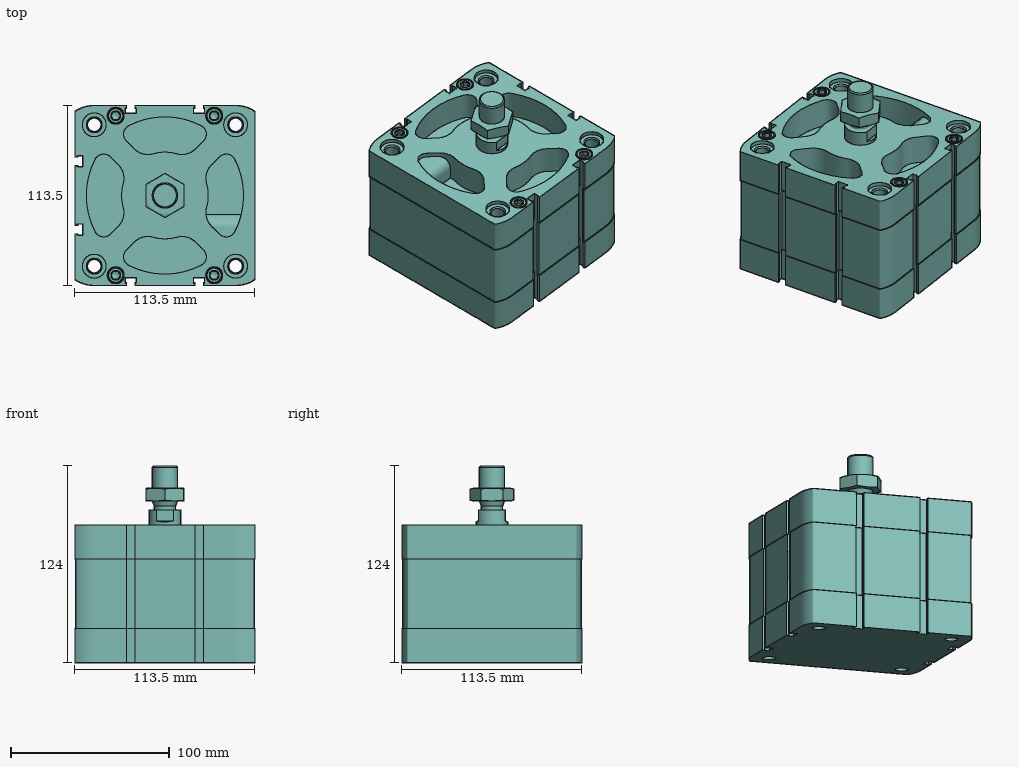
import cadquery as cq
import math

side = 113.5
half_side = side / 2
housing_height = 87.0
cap_height = 21.7
barrel_inset = 0.5

corner_arc_start = 44.5
corner_arc_radius = 22.0
corner_fillet = 1.0

slot_offset = 21.5
slot_opening = 5.3
slot_width = 6.8
slot_lip = 1.5
slot_depth = 4.9

pocket_outer_radius = 49.5
pocket_inner_radius = 27.3
pocket_depth = 19.0
rib_width = 14.2
pocket_outer_fillet = 6.0
pocket_inner_fillet = 12.0

mount_offset = 44.5
mount_counterbore_diameter = 15.0
mount_counterbore_depth = 2.5
mount_thread_diameter = 10.0
mount_hole_diameter = 8.38

screw_x = 31.0
screw_y = 50.2
screw_recess_diameter = 10.7
screw_recess_depth = 6.0
screw_head_diameter = 10.0
screw_head_chamfer = 0.5
socket_across_flats = 5.0
socket_mouth_diameter = 6.2
socket_depth = 3.5
socket_tip_depth = 0.8

block_edge_y = -12.0
block_edge_fillet = 8.1
block_top = 84.0
block_inner_x = 20.0
block_length = 18.0

overall_height = 124.0
collar_diameter = 20.0
collar_top = 96.3
neck_diameter = 13.5
neck_top = 98.7
neck_fillet = 0.4
thread_diameter = 16.0
thread_tip_diameter = 14.38
flats_width = 17.0
flats_bottom = 89.4
flats_runout = 0.6
rod_bottom = housing_height - cap_height

nut_across_flats = 24.0
nut_height = 8.0
nut_bottom = 102.0
nut_face_diameter = 23.4
nut_corner_drop = 0.5


def body_section(inset, bottom, height):
    """A slotted prism of the body outline, with all faces moved inwards by the inset."""
    half = half_side - inset
    radius = corner_arc_radius - inset
    start = corner_arc_start
    run = half - start
    edge_y = half - radius + math.sqrt(radius**2 - run**2)
    mid_angle = (math.pi / 2 + math.acos(run / radius)) / 2
    mid_x = start + radius * math.cos(mid_angle)
    mid_y = half - radius + radius * math.sin(mid_angle)
    outline = (
        cq.Workplane("XY", origin=(0, 0, bottom))
        .moveTo(-start, half)
        .lineTo(start, half)
        .threePointArc((mid_x, mid_y), (half, edge_y))
        .lineTo(half, -edge_y)
        .threePointArc((mid_x, -mid_y), (start, -half))
        .lineTo(-start, -half)
        .threePointArc((-mid_x, -mid_y), (-half, -edge_y))
        .lineTo(-half, edge_y)
        .threePointArc((-mid_x, mid_y), (-start, half))
        .close()
    )
    prism = outline.extrude(height)
    prism = prism.edges("|Z and (>X or <X)").fillet(corner_fillet)
    return prism.cut(t_slots(inset, bottom, height))


def t_slots(inset, bottom, height):
    """Undercut slots over one section of the body: two on each Y side and two on the -X side."""
    opening = cq.Workplane("XY").box(2 * slot_lip, slot_opening, height, centered=(True, True, False))
    chamber = (
        cq.Workplane("XY", origin=(slot_lip, 0, 0))
        .box(slot_depth - slot_lip, slot_width, height, centered=(False, True, False))
    )
    slot = opening.union(chamber).translate((inset - half_side, 0, bottom))
    pair = slot.translate((0, slot_offset, 0)).union(slot.translate((0, -slot_offset, 0)))
    slots = pair
    for angle in (90, -90):
        slots = slots.union(pair.rotate((0, 0, 0), (0, 0, 1), angle))
    return slots


def kidney_pockets():
    """A ring cut into four by diagonal ribs, with rounded corners."""
    floor = housing_height - pocket_depth
    ring = (
        cq.Workplane("XY", origin=(0, 0, floor))
        .circle(pocket_outer_radius)
        .circle(pocket_inner_radius)
        .extrude(pocket_depth)
    )
    for angle in (45, -45):
        rib = (
            cq.Workplane("XY", origin=(0, 0, floor))
            .transformed(rotate=(0, 0, angle))
            .rect(2 * side, rib_width)
            .extrude(pocket_depth)
        )
        ring = ring.cut(rib)
    split_radius = (pocket_outer_radius + pocket_inner_radius) / 2
    split = cq.Workplane("XY", origin=(0, 0, floor)).circle(split_radius).extrude(pocket_depth).val()
    corners = ring.edges("|Z").vals()
    inner = [edge for edge in corners if split.isInside(edge.Center())]
    ring = ring.newObject(inner).fillet(pocket_inner_fillet)
    outer = [
        edge
        for edge in ring.edges("|Z").vals()
        if math.hypot(edge.Center().x, edge.Center().y) > split_radius
    ]
    return ring.newObject(outer).fillet(pocket_outer_fillet)


def mounting_hole():
    bore_top = housing_height - mount_counterbore_depth
    bore_radius = mount_hole_diameter / 2
    lead_in = mount_thread_diameter / 2 - bore_radius
    profile = [
        (0, 0),
        (bore_radius, 0),
        (bore_radius, bore_top - lead_in),
        (mount_thread_diameter / 2, bore_top),
        (mount_counterbore_diameter / 2, bore_top),
        (mount_counterbore_diameter / 2, housing_height),
        (0, housing_height),
    ]
    return cq.Workplane("XZ").polyline(profile).close().revolve(360, (0, 0), (0, 1))


def screw_recess():
    """The ring gap around a screw head, and the hexagon socket in it."""
    head = (
        cq.Workplane("XY", origin=(0, 0, housing_height - screw_recess_depth))
        .circle(screw_head_diameter / 2)
        .extrude(screw_recess_depth)
        .faces(">Z")
        .chamfer(screw_head_chamfer)
    )
    recess = (
        cq.Workplane("XY", origin=(0, 0, housing_height - screw_recess_depth))
        .circle(screw_recess_diameter / 2)
        .extrude(screw_recess_depth)
        .cut(head)
    )
    corner_radius = socket_across_flats / math.sqrt(3)
    socket = (
        cq.Workplane("XY", origin=(0, 0, housing_height - socket_depth))
        .polygon(6, 2 * corner_radius)
        .extrude(socket_depth)
    )
    mouth_radius = socket_mouth_diameter / 2
    mouth = cq.Workplane("XZ").polyline([
        (0, housing_height),
        (mouth_radius, housing_height),
        (0, housing_height - mouth_radius),
    ]).close().revolve(360, (0, 0), (0, 1))
    floor = housing_height - socket_depth
    tip = cq.Workplane("XZ").polyline([
        (0, floor),
        (socket_across_flats / 2, floor),
        (0, floor - socket_tip_depth),
    ]).close().revolve(360, (0, 0), (0, 1))
    return recess.union(socket).union(mouth).union(tip)


def pocket_block():
    """The block that stays standing in the +X pocket, from the pocket floor up."""
    floor = housing_height - pocket_depth
    return (
        cq.Workplane("XY", origin=(0, 0, floor))
        .box(pocket_outer_radius - block_inner_x, block_length, block_top - floor, centered=False)
        .translate((block_inner_x, block_edge_y - block_length, 0))
        .edges(">Y and >Z")
        .fillet(block_edge_fillet)
    )


def make_housing():
    bottom_cap = body_section(0, 0, cap_height)
    barrel = body_section(barrel_inset, cap_height, housing_height - 2 * cap_height)
    top_cap = body_section(0, housing_height - cap_height, cap_height)
    housing = bottom_cap.union(barrel).union(top_cap)
    housing = housing.cut(kidney_pockets().cut(pocket_block()))
    for sx in (1, -1):
        for sy in (1, -1):
            housing = housing.cut(mounting_hole().translate((sx * mount_offset, sy * mount_offset, 0)))
            housing = housing.cut(screw_recess().translate((sx * screw_x, sy * screw_y, 0)))
    rod_hole = (
        cq.Workplane("XY", origin=(0, 0, rod_bottom)).circle(collar_diameter / 2).extrude(cap_height)
    )
    return housing.cut(rod_hole)


def make_rod():
    thread_radius = thread_diameter / 2
    neck_radius = neck_diameter / 2
    collar_radius = collar_diameter / 2
    tip_radius = thread_tip_diameter / 2
    rod = (
        cq.Workplane("XZ")
        .moveTo(0, rod_bottom)
        .lineTo(collar_radius, rod_bottom)
        .lineTo(collar_radius, collar_top)
        .lineTo(neck_radius + neck_fillet, collar_top)
        .radiusArc((neck_radius, collar_top + neck_fillet), neck_fillet)
        .lineTo(neck_radius, neck_top)
        .lineTo(thread_radius, nut_bottom)
        .lineTo(thread_radius, overall_height - (thread_radius - tip_radius))
        .lineTo(tip_radius, overall_height)
        .lineTo(0, overall_height)
        .close()
        .revolve(360, (0, 0), (0, 1))
    )
    flat_cut = (
        cq.Workplane("YZ", origin=(-collar_radius, 0, 0))
        .polyline([
            (flats_width / 2, collar_top),
            (flats_width / 2, flats_bottom),
            (collar_radius, flats_bottom - flats_runout),
            (collar_radius, collar_top),
        ])
        .close()
        .extrude(collar_diameter)
    )
    return rod.cut(flat_cut).cut(flat_cut.mirror("XZ"))


def make_nut():
    """Hexagon nut with two flats across X and its corners chamfered at both ends."""
    corner_radius = nut_across_flats / math.sqrt(3)
    hexagon = (
        cq.Workplane("XY", origin=(0, 0, nut_bottom))
        .transformed(rotate=(0, 0, 30))
        .polygon(6, 2 * corner_radius)
        .extrude(nut_height)
    )
    face_radius = nut_face_diameter / 2
    nut_top = nut_bottom + nut_height
    envelope = (
        cq.Workplane("XZ")
        .polyline([
            (0, nut_bottom),
            (face_radius, nut_bottom),
            (corner_radius, nut_bottom + nut_corner_drop),
            (corner_radius, nut_top - nut_corner_drop),
            (face_radius, nut_top),
            (0, nut_top),
        ])
        .close()
        .revolve(360, (0, 0), (0, 1))
    )
    bore = cq.Workplane("XY", origin=(0, 0, nut_bottom)).circle(thread_diameter / 2).extrude(nut_height)
    return hexagon.intersect(envelope).cut(bore)


housing = make_housing()
rod = make_rod()
nut = make_nut()

result = cq.Compound.makeCompound([housing.val(), rod.val(), nut.val()])